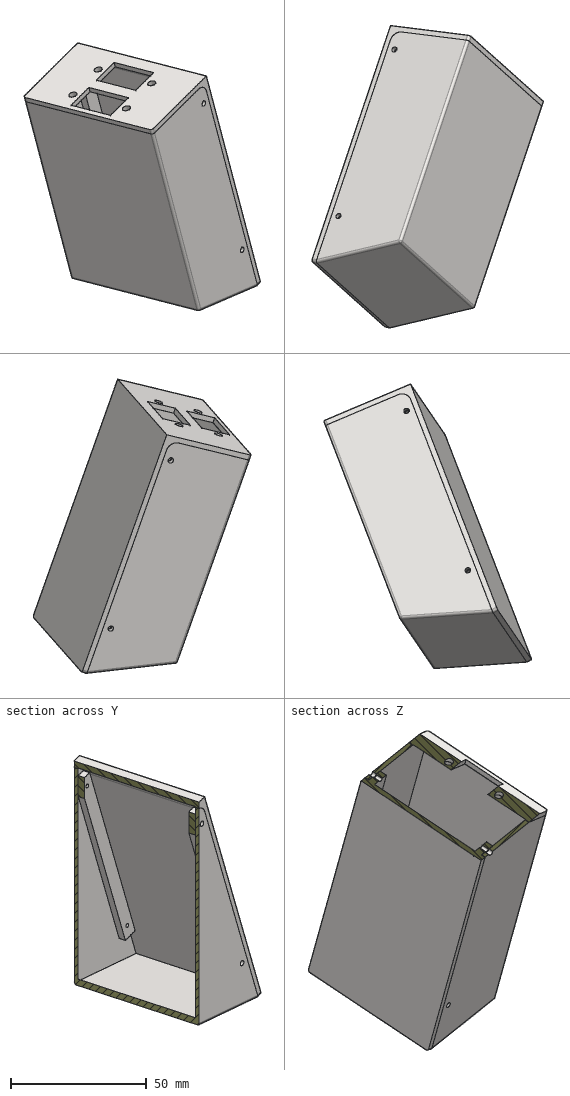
import cadquery as cq
import math

WIDTH = 60.0
HEIGHT = 91.0
LEAN = math.radians(20)
DEPTH = 35.0
BACK_LENGTH = 95.9
WALL = 2.0
EDGE_RADIUS = 1.0
SEAM_RADIUS = 3.7

SLOT_WIDTH = 18.4
SLOT_DEPTH = 11.5
SLOT_CENTRES = (11.0, 27.2)
MOUNT_DIAMETER = 3.0
MOUNT_OFFSET = 12.5

FLANGE_WIDTH = 6.0
FLANGE_THICKNESS = 3.0
FLANGE_TOP = 5.0
FLANGE_BOTTOM = 81.9
SCREW_DEPTH = 5.0
SCREW_DROPS = (9.2, 77.0)
CLEARANCE_DIAMETER = 2.0
PILOT_DIAMETER = 1.5


def point(depth, drop):
    """(Y, Z) of a place measured from the top back edge, along the leaning faces."""
    y = drop * math.sin(LEAN) - depth * math.cos(LEAN)
    z = HEIGHT - drop * math.cos(LEAN) - depth * math.sin(LEAN)
    return y, z


def drop_at_height(depth, z):
    """Distance down a leaning line, at the given depth, to the height z."""
    return (HEIGHT - z - depth * math.sin(LEAN)) / math.cos(LEAN)


def prism(corners, width):
    """Side profile of (depth, drop) corners, extruded evenly about the centre plane."""
    outline = [point(depth, drop) for depth, drop in corners]
    return cq.Workplane("YZ").polyline(outline).close().extrude(width / 2, both=True)


def cross_hole(depth, drop, diameter):
    """Cylinder right across the enclosure along X."""
    return cq.Workplane("YZ").center(*point(depth, drop)).circle(diameter / 2).extrude(WIDTH, both=True)


def make_envelope():
    """Whole outer shape, with rounded front, floor and lower side edges."""
    floor_back = drop_at_height(WALL, 0)
    floor_front = drop_at_height(DEPTH, 0)
    corners = [(0, 0), (DEPTH, 0), (DEPTH, floor_front), (WALL, floor_back), (0, BACK_LENGTH)]
    body = prism(corners, WIDTH)
    side = WIDTH / 2
    rounded = []
    for start, end in zip(corners[1:-1], corners[2:]):
        y, z = point((start[0] + end[0]) / 2, (start[1] + end[1]) / 2)
        for x in (-side, side):
            rounded.append(cq.selectors.NearestToPointSelector((x, y, z)))
    rounded.append(cq.selectors.NearestToPointSelector((0, *point(DEPTH, floor_front))))
    edges = [body.edges(selector).val() for selector in rounded]
    return body.newObject(edges).fillet(EDGE_RADIUS)


def make_seam_block():
    """Everything in front of the back plate and below the top plate, with the rounded corner."""
    reach = 2 * HEIGHT
    block = prism([(WALL, WALL), (reach, WALL), (reach, reach), (WALL, reach)], 2 * WIDTH)
    corner = cq.selectors.NearestToPointSelector((0, *point(WALL, WALL)))
    return block.edges(corner).fillet(SEAM_RADIUS)


def make_cavity():
    """Space inside the housing walls, open towards the cover."""
    front = DEPTH - WALL
    corners = [
        (0, 0),
        (front, 0),
        (front, drop_at_height(front, WALL)),
        (0, drop_at_height(0, WALL)),
    ]
    return prism(corners, WIDTH - 2 * WALL)


def make_flanges():
    """Two strips along the back plate, lying against the housing side walls."""
    front = WALL + FLANGE_WIDTH
    corners = [(WALL, FLANGE_TOP), (front, FLANGE_TOP), (front, FLANGE_BOTTOM), (WALL, FLANGE_BOTTOM)]
    inner_width = WIDTH - 2 * WALL
    between = prism(corners, inner_width - 2 * FLANGE_THICKNESS)
    flanges = prism(corners, inner_width).cut(between)
    for drop in SCREW_DROPS:
        flanges = flanges.cut(cross_hole(SCREW_DEPTH, drop, PILOT_DIAMETER))
    return flanges


def make_top_openings():
    """Cutters for the two connector slots and their mounting holes."""
    top = cq.Workplane(cq.Plane(
        origin=(0, 0, HEIGHT),
        xDir=(1, 0, 0),
        normal=(0, -math.sin(LEAN), math.cos(LEAN)),
    ))
    slot_places = [(0, -depth) for depth in SLOT_CENTRES]
    hole_places = [(x, -depth) for x in (-MOUNT_OFFSET, MOUNT_OFFSET) for depth in SLOT_CENTRES]
    slots = top.pushPoints(slot_places).rect(SLOT_WIDTH, SLOT_DEPTH).extrude(-2 * WALL)
    holes = top.pushPoints(hole_places).circle(MOUNT_DIAMETER / 2).extrude(-2 * WALL)
    return slots.union(holes)


def make_housing(envelope, seam_block):
    """Front, floor and two side walls."""
    housing = envelope.intersect(seam_block).cut(make_cavity())
    for drop in SCREW_DROPS:
        housing = housing.cut(cross_hole(SCREW_DEPTH, drop, CLEARANCE_DIAMETER))
    return housing


def make_cover(envelope, seam_block):
    """Top and back plates in one piece, with screw flanges."""
    plates = envelope.cut(seam_block).cut(make_top_openings())
    return plates.union(make_flanges())


envelope = make_envelope()
seam_block = make_seam_block()
housing = make_housing(envelope, seam_block)
cover = make_cover(envelope, seam_block)

result = cq.Compound.makeCompound([housing.val(), cover.val()])